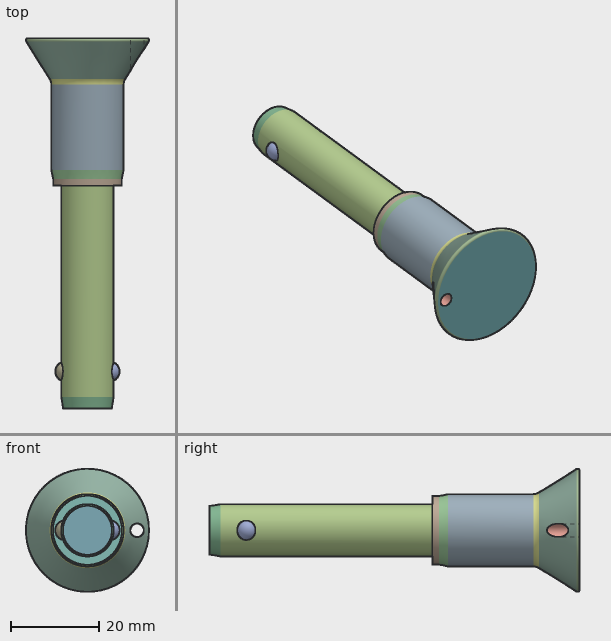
import cadquery as cq
import math

length = 84.1

knob_radius = 14.0
rim_round = 0.5
flare_angle = math.radians(32.0)
neck_round = 2.35

sleeve_radius = 8.2
collar_radius = 7.8
sleeve_taper_start = 29.9
sleeve_taper_length = 2.0
sleeve_end = 33.5

shank_radius = 6.0
tip_radius = 5.55
tip_taper_length = 2.6

ball_radius = 2.3
ball_reach = 7.3
ball_from_tip = 8.4

hole_diameter = 3.0
hole_offset = 11.3


def arc_point(center, radius, angle):
    """Point on a circle, with the angle measured from the outward radial direction."""
    return (center[0] + radius * math.cos(angle), center[1] + radius * math.sin(angle))


def pin_body():
    """Revolve the half profile of knob, sleeve and shank about Y."""
    rim_center = (knob_radius - rim_round, -rim_round)
    rim_start = (rim_center[0], 0)
    rim_middle = arc_point(rim_center, rim_round, 0)
    rim_end = arc_point(rim_center, rim_round, -flare_angle)

    neck_center_radius = sleeve_radius + neck_round
    flare_end_radius = neck_center_radius - neck_round * math.cos(flare_angle)
    flare_length = (rim_end[0] - flare_end_radius) / math.tan(flare_angle)
    flare_end_y = rim_end[1] - flare_length
    neck_center = (neck_center_radius, flare_end_y - neck_round * math.sin(flare_angle))
    neck_start = (flare_end_radius, flare_end_y)
    neck_middle = arc_point(neck_center, neck_round, math.pi - flare_angle / 2)
    neck_end = arc_point(neck_center, neck_round, math.pi)

    profile = (
        cq.Workplane("XY")
        .lineTo(*rim_start)
        .threePointArc(rim_middle, rim_end)
        .lineTo(*neck_start)
        .threePointArc(neck_middle, neck_end)
        .lineTo(sleeve_radius, -sleeve_taper_start)
        .lineTo(collar_radius, -sleeve_taper_start - sleeve_taper_length)
        .lineTo(collar_radius, -sleeve_end)
        .lineTo(shank_radius, -sleeve_end)
        .lineTo(shank_radius, -length + tip_taper_length)
        .lineTo(tip_radius, -length)
        .lineTo(0, -length)
        .close()
    )
    return profile.revolve(360, (0, 0, 0), (0, 1, 0))


def locking_ball(side):
    """Ball partly sunk in the shank on the +X (1) or -X (-1) side."""
    center = (side * (ball_reach - ball_radius), ball_from_tip - length, 0)
    return cq.Workplane("XY").sphere(ball_radius).translate(center)


def lanyard_hole():
    """Cutter parallel to the axis, passing the flare outside the sleeve."""
    return cq.Workplane("XZ").center(hole_offset, 0).circle(hole_diameter / 2).extrude(sleeve_end)


result = pin_body()
for side in (-1, 1):
    result = result.union(locking_ball(side))
result = result.cut(lanyard_hole())